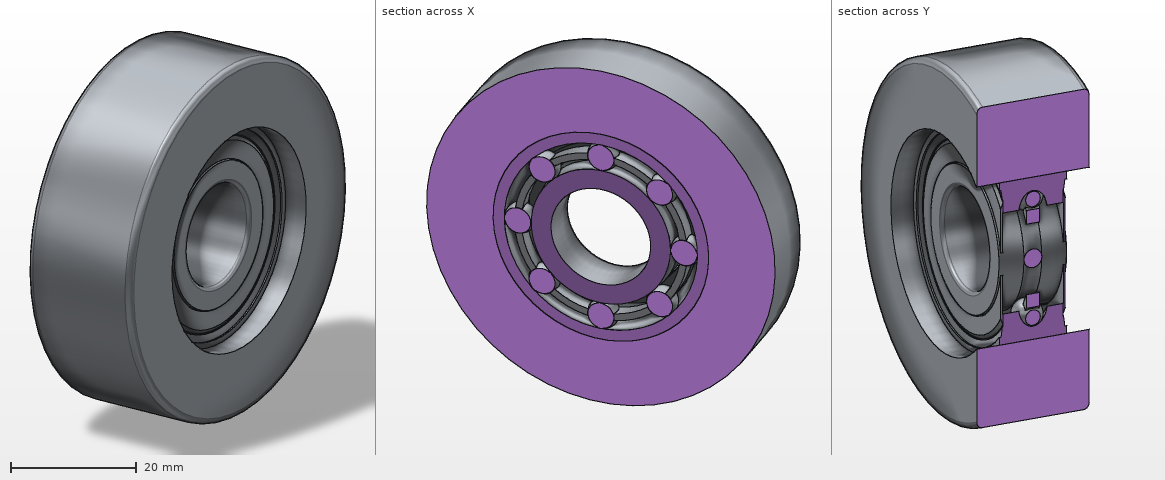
import cadquery as cq
import math

WHEEL_RADIUS = 30.0
WHEEL_WIDTH = 20.0
WHEEL_EDGE_RADIUS = 1.0

BEARING_WIDTH = 12.0
BEARING_OUTER_RADIUS = 18.5
BEARING_BORE_RADIUS = 8.5
BORE_EDGE_RADIUS = 0.6
INNER_RING_RADIUS = 12.25

MOUTH_RADIUS = 17.5
MOUTH_DEPTH = 0.3
SHOULDER_INNER_RADIUS = 16.3
SHOULDER_DROP = 0.25
LEDGE_DEPTH = 0.65
LEDGE_INNER_RADIUS = 15.0

SHIELD_RIM_RADIUS = 16.15
SHIELD_FACE_RADIUS = 15.5
SHIELD_CLEARANCE = 0.21
SHIELD_BORE_RADIUS = INNER_RING_RADIUS + SHIELD_CLEARANCE
SHIELD_FACE_DEPTH = 0.25

BALL_COUNT = 8
BALL_RADIUS = 2.6
PITCH_RADIUS = (INNER_RING_RADIUS + SHOULDER_INNER_RADIUS) / 2
CAGE_THICKNESS = 1.2
CAGE_WIDTH = 2.4

BEARING_FACE = BEARING_WIDTH / 2
LEDGE_FACE = BEARING_FACE - LEDGE_DEPTH


def turned(profile):
    """Solid of revolution about the X axis of a closed profile of (x, radius) points."""
    return cq.Workplane("XZ").polyline(profile).close().revolve(360, (0, 0), (1, 0))


def ring(outer_radius, inner_radius, width):
    """Plain ring on the X axis, centred on the origin."""
    return turned([
        (-width / 2, inner_radius),
        (-width / 2, outer_radius),
        (width / 2, outer_radius),
        (width / 2, inner_radius),
    ])


def make_race():
    """Torus swept by the balls, which leaves a ball groove in each bearing ring."""
    return cq.Workplane("XZ").center(0, PITCH_RADIUS).circle(BALL_RADIUS).revolve(
        360, (0, -PITCH_RADIUS), (1, -PITCH_RADIUS)
    )


def make_wheel():
    blank = ring(WHEEL_RADIUS, BEARING_OUTER_RADIUS, WHEEL_WIDTH)
    tread_edges = blank.edges("%CIRCLE").edges(cq.selectors.RadiusNthSelector(-1))
    return tread_edges.fillet(WHEEL_EDGE_RADIUS)


def make_outer_ring():
    shoulder = BEARING_FACE - MOUTH_DEPTH
    right_half = [
        (BEARING_FACE, BEARING_OUTER_RADIUS),
        (BEARING_FACE, MOUTH_RADIUS),
        (shoulder, MOUTH_RADIUS),
        (shoulder - SHOULDER_DROP, SHOULDER_INNER_RADIUS),
        (LEDGE_FACE, SHOULDER_INNER_RADIUS),
        (LEDGE_FACE, LEDGE_INNER_RADIUS),
    ]
    left_half = [(-x, radius) for x, radius in reversed(right_half)]
    return turned(right_half + left_half).cut(make_race())


def make_inner_ring():
    blank = ring(INNER_RING_RADIUS, BEARING_BORE_RADIUS, BEARING_WIDTH)
    bore_edges = blank.edges("%CIRCLE").edges(cq.selectors.RadiusNthSelector(0))
    return bore_edges.fillet(BORE_EDGE_RADIUS).cut(make_race())


def make_shield(side):
    """Shield on the +X side (side = 1) or the -X side (side = -1)."""
    face = side * (BEARING_FACE - SHIELD_FACE_DEPTH)
    ledge = side * LEDGE_FACE
    return turned([
        (face, SHIELD_BORE_RADIUS),
        (face, SHIELD_FACE_RADIUS),
        (ledge, SHIELD_RIM_RADIUS),
        (ledge, SHIELD_BORE_RADIUS),
    ])


def make_ball_set():
    half_thickness = CAGE_THICKNESS / 2
    ball_set = ring(PITCH_RADIUS + half_thickness, PITCH_RADIUS - half_thickness, CAGE_WIDTH)
    for index in range(BALL_COUNT):
        angle = 2 * math.pi * index / BALL_COUNT
        centre = (0, PITCH_RADIUS * math.cos(angle), PITCH_RADIUS * math.sin(angle))
        ball = cq.Workplane("XY").sphere(BALL_RADIUS).translate(centre)
        ball_set = ball_set.union(ball)
    return ball_set


wheel = make_wheel()
outer_ring = make_outer_ring()
inner_ring = make_inner_ring()
ball_set = make_ball_set()
shields = [make_shield(side) for side in (-1, 1)]

result = cq.Compound.makeCompound(
    [wheel.val(), outer_ring.val(), inner_ring.val(), ball_set.val()]
    + [shield.val() for shield in shields]
)